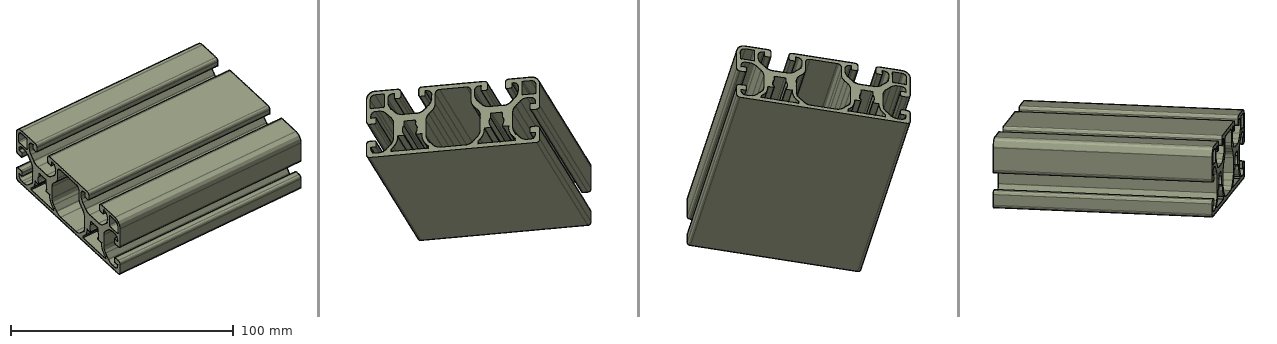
import cadquery as cq
import math


width = 80.0
length = 100.0
height = 32.0
half_width = width / 2
top_corner_radius = 4.0
bottom_corner_radius = 1.5

half_module = 20.0
slot_axis_x = half_width - half_module
slot_axis_z = height - half_module

mouth_half_width = 4.1
lip_half_width = 7.1
cavity_half_width = 10.1
skin = 2.0
lip_depth = 4.5
slot_depth = 12.5
floor_half_width = 5.3
lip_radius = 1.5
lip_tip_radius = 0.8
lip_inner_radius = 0.3
hook_radius = 2.3
bend_radius = 4.5
shoulder_depth = slot_depth - (cavity_half_width - floor_half_width)

web = 1.65
corner_hollow_start = 1.75
corner_hollow_end = half_module - cavity_half_width - web
corner_hollow_outer_radius = top_corner_radius - corner_hollow_start
corner_hollow_inner_radius = 0.5
centre_top_radius = 2.0

bore_radius = 3.4
channel_half_width = 2.7
channel_top_rise = 4.2
channel_corner_radius = 0.5
leg_wall = 1.9
base_hollow_top = 9.3
base_hollow_half_width = 8.6
base_hollow_edge_height = 1.0


def rounded_outline(corners):
    """Closed XZ outline through (x, z, radius) corners, each rounded by a tangent arc."""
    outline = cq.Workplane("XZ")
    for i, (x, z, radius) in enumerate(corners):
        before_x, before_z, _ = corners[i - 1]
        after_x, after_z, _ = corners[(i + 1) % len(corners)]
        corner = cq.Vector(x, z)
        to_before = (cq.Vector(before_x, before_z) - corner).normalized()
        to_after = (cq.Vector(after_x, after_z) - corner).normalized()
        half_angle = to_before.getAngle(to_after) / 2
        setback = radius / math.tan(half_angle)
        arc_start = corner + to_before * setback
        if i == 0:
            outline = outline.moveTo(arc_start.x, arc_start.y)
        else:
            outline = outline.lineTo(arc_start.x, arc_start.y)
        if radius > 0:
            sagitta = radius / math.sin(half_angle) - radius
            arc_middle = corner + (to_before + to_after).normalized() * sagitta
            arc_end = corner + to_after * setback
            outline = outline.threePointArc((arc_middle.x, arc_middle.y), (arc_end.x, arc_end.y))
    return outline.close()


def bar(corners):
    """Prism over the full length of the profile, centred on Y = 0."""
    return rounded_outline(corners).extrude(length / 2, both=True)


def mirrored_corners(half):
    """Complete an outline symmetric about its first coordinate from its positive half."""
    return half + [(-across, along, radius) for across, along, radius in reversed(half)]


def both_sides(solid):
    """The solid together with its mirror image about X = 0."""
    return solid.union(solid.mirror("YZ"))


def body():
    """Solid bar with the rounded outer corners."""
    return bar(mirrored_corners([
        (half_width, 0, bottom_corner_radius),
        (half_width, height, top_corner_radius),
    ]))


def slot_corners():
    """T-slot outline as (offset from the slot axis, depth below the face, radius)."""
    overshoot = 2 * lip_radius
    return mirrored_corners([
        (mouth_half_width + overshoot, -overshoot, 0),
        (mouth_half_width + overshoot, 0, 0),
        (mouth_half_width, 0, lip_radius),
        (mouth_half_width, lip_depth, lip_tip_radius),
        (lip_half_width, lip_depth, lip_inner_radius),
        (lip_half_width, skin, 0),
        (cavity_half_width, skin, hook_radius),
        (cavity_half_width, shoulder_depth, bend_radius),
        (floor_half_width, slot_depth, bend_radius),
    ])


def top_slots():
    return both_sides(bar([
        (slot_axis_x + offset, height - depth, radius) for offset, depth, radius in slot_corners()
    ]))


def side_slots():
    return both_sides(bar([
        (half_width - depth, slot_axis_z + offset, radius) for offset, depth, radius in slot_corners()
    ]))


def corner_hollows():
    inner_x = half_width - corner_hollow_end
    outer_x = half_width - corner_hollow_start
    lower_z = height - corner_hollow_end
    upper_z = height - corner_hollow_start
    return both_sides(bar([
        (inner_x, lower_z, corner_hollow_inner_radius),
        (outer_x, lower_z, corner_hollow_inner_radius),
        (outer_x, upper_z, corner_hollow_outer_radius),
        (inner_x, upper_z, corner_hollow_inner_radius),
    ]))


def centre_hollow():
    """Hollow on X = 0; its lower walls mirror the side slots about the top slot axes."""
    waist = 2 * slot_axis_x - (half_width - slot_depth)
    base = 2 * slot_axis_x - (half_width - shoulder_depth)
    neck = slot_axis_x - cavity_half_width - web
    neck_z = slot_axis_z + floor_half_width + waist - neck
    return bar(mirrored_corners([
        (base, slot_axis_z - cavity_half_width, bend_radius),
        (waist, slot_axis_z - floor_half_width, bend_radius),
        (waist, slot_axis_z + floor_half_width, bend_radius),
        (neck, neck_z, bend_radius),
        (neck, height - skin, centre_top_radius),
    ]))


def screw_channels():
    """Narrow channel widened by a round screw bore on the slot axis, open to the base hollow."""
    channel = bar([
        (slot_axis_x + across, z, radius) for across, z, radius in mirrored_corners([
            (channel_half_width, skin, 0),
            (channel_half_width, slot_axis_z + channel_top_rise, channel_corner_radius),
        ])
    ])
    bore = (
        cq.Workplane("XZ")
        .center(slot_axis_x, slot_axis_z)
        .circle(bore_radius)
        .extrude(length / 2, both=True)
    )
    return both_sides(channel.union(bore))


def base_hollows():
    """Hollow between the legs; the legs keep a constant wall against the side slots."""
    leg_half_width = half_module - slot_depth - leg_wall
    edge_z = skin + base_hollow_edge_height
    bend_z = edge_z + base_hollow_half_width - leg_half_width
    half = [
        (base_hollow_half_width, skin, 0),
        (base_hollow_half_width, edge_z, 0),
        (leg_half_width, bend_z, bend_radius + leg_wall),
        (leg_half_width, base_hollow_top, 0),
    ]
    return both_sides(bar([
        (slot_axis_x + across, z, radius) for across, z, radius in mirrored_corners(half)
    ]))


result = (
    body()
    .cut(top_slots())
    .cut(side_slots())
    .cut(corner_hollows())
    .cut(centre_hollow())
    .cut(screw_channels())
    .cut(base_hollows())
)